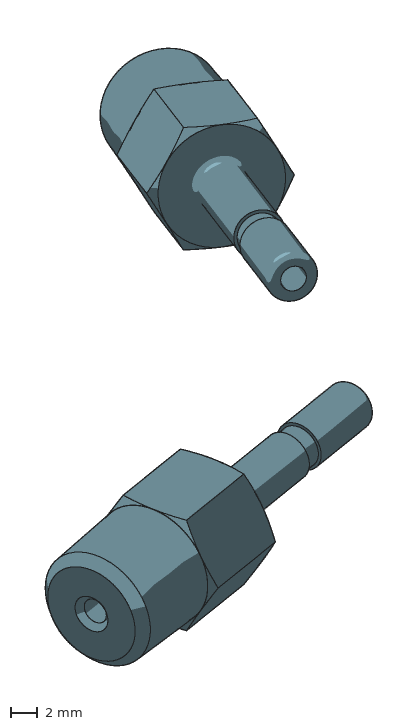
import cadquery as cq
import math

total_length = 34.0
hex_start = 8.0
hex_end = 16.0
groove_start = 25.45
groove_end = 27.0

thread_tip_diameter = 9.6
thread_root_diameter = 10.0
thread_chamfer = 0.8

across_flats = 10.0
across_corners = across_flats / math.cos(math.radians(30))
hex_face_diameter = 9.95
thread_side_chamfer = 0.25
stem_side_chamfer = 0.35

stem_diameter = 4.0
groove_diameter = 3.5
stem_fillet = 0.5

bore_diameter = 2.0
countersink_diameter = 3.0
countersink_depth = (countersink_diameter - bore_diameter) / 2


def revolve_about_x(points):
    """Turn a closed (x, radius) outline about the X axis."""
    return cq.Workplane("XY").polyline(points).close().revolve(360, (0, 0, 0), (1, 0, 0))


def cylinder(start, end, diameter):
    return cq.Workplane("YZ", origin=(start, 0, 0)).circle(diameter / 2).extrude(end - start)


def make_thread_blank():
    tip_radius = thread_tip_diameter / 2
    return revolve_about_x([
        (0, 0),
        (0, tip_radius - thread_chamfer),
        (thread_chamfer, tip_radius),
        (hex_start, thread_root_diameter / 2),
        (hex_start, 0),
    ])


def make_hexagon():
    prism = (
        cq.Workplane("YZ", origin=(hex_start, 0, 0))
        .polygon(6, across_corners)
        .extrude(hex_end - hex_start)
    )
    envelope = revolve_about_x([
        (hex_start, 0),
        (hex_start, hex_face_diameter / 2),
        (hex_start + thread_side_chamfer, across_corners / 2),
        (hex_end - stem_side_chamfer, across_corners / 2),
        (hex_end, hex_face_diameter / 2),
        (hex_end, 0),
    ])
    return prism.intersect(envelope)


def make_stem():
    front_length = cylinder(hex_end, groove_start, stem_diameter)
    groove_core = cylinder(groove_start, groove_end, groove_diameter)
    plug = cylinder(groove_end, total_length, stem_diameter).faces(">X").edges().fillet(stem_fillet)
    stem_radius = stem_diameter / 2
    fillet_mid = stem_fillet * (1 - math.sqrt(0.5))
    root_fillet = (
        cq.Workplane("XY")
        .moveTo(hex_end, 0)
        .lineTo(hex_end, stem_radius + stem_fillet)
        .threePointArc(
            (hex_end + fillet_mid, stem_radius + fillet_mid),
            (hex_end + stem_fillet, stem_radius),
        )
        .lineTo(hex_end + stem_fillet, 0)
        .close()
        .revolve(360, (0, 0, 0), (1, 0, 0))
    )
    return front_length.union(root_fillet).union(groove_core).union(plug)


def make_bore():
    countersink = revolve_about_x([
        (0, 0),
        (0, countersink_diameter / 2),
        (countersink_depth, bore_diameter / 2),
        (countersink_depth, 0),
    ])
    return cylinder(0, total_length, bore_diameter).union(countersink)


result = make_thread_blank().union(make_hexagon()).union(make_stem()).cut(make_bore())